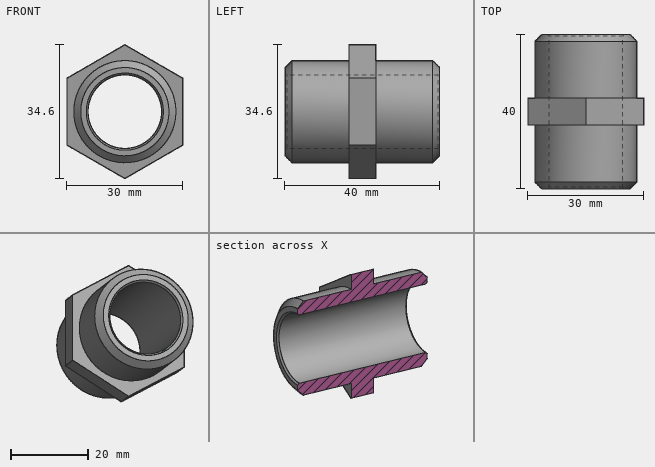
import cadquery as cq
import math

length = 40.0
body_diameter = 26.45
bore_diameter = 19.0
end_chamfer = 1.8
bore_chamfer = 0.5
hex_across_flats = 30.0
hex_width = 7.0


def cylinder_along_y(diameter):
    """Full-length round bar centred on the origin."""
    return cq.Workplane("XZ").circle(diameter / 2).extrude(length / 2, both=True)


body = cylinder_along_y(body_diameter).faces("<Y or >Y").edges().chamfer(end_chamfer)

across_corners = hex_across_flats / math.cos(math.pi / 6)
collar = (
    cq.Workplane("XZ")
    .transformed(rotate=(0, 0, 90))
    .polygon(6, across_corners)
    .extrude(hex_width / 2, both=True)
)

bored = body.union(collar).cut(cylinder_along_y(bore_diameter))
bore_mouths = bored.faces("<Y or >Y").edges(cq.selectors.RadiusNthSelector(0))
result = bore_mouths.chamfer(bore_chamfer)